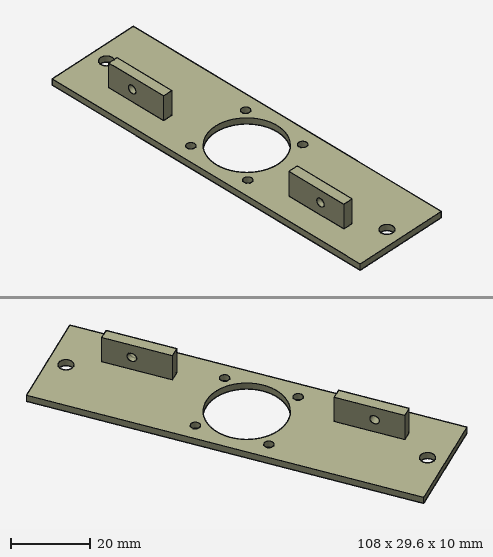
import cadquery as cq

plate_length = 108.0
plate_width = 29.6
plate_thickness = 2.0
overall_height = 10.0

opening_diameter = 22.0
screw_diameter = 2.6
screw_spacing = 20.0

mount_diameter = 4.0
mount_spacing = 98.3

lug_length = 19.2
lug_thickness = 3.0
lug_height = overall_height - plate_thickness
lug_spacing = 63.2
lug_center_y = -5.9
cross_hole_diameter = 2.6
cross_hole_spacing = 66.0
cross_hole_z = 6.0


def make_plate():
    plate = cq.Workplane("XY").box(
        plate_length, plate_width, plate_thickness, centered=(True, True, False)
    )
    top = plate.faces(">Z").workplane(origin=(0, 0, plate_thickness))
    plate = top.hole(opening_diameter)
    screw_holes = top.rarray(screw_spacing, screw_spacing, 2, 2)
    plate = plate.cut(screw_holes.circle(screw_diameter / 2).extrude(-plate_thickness, combine=False))
    mount_holes = top.rarray(mount_spacing, 1.1, 2, 1)
    return plate.cut(mount_holes.circle(mount_diameter / 2).extrude(-plate_thickness, combine=False))


def make_lug(side):
    """Return the lug on the given X side (-1 or +1), drilled through along Y."""
    lug = (
        cq.Workplane("XY", origin=(side * lug_spacing / 2, lug_center_y, plate_thickness))
        .box(lug_length, lug_thickness, lug_height, centered=(True, True, False))
    )
    cross_hole = (
        cq.Workplane("XZ", origin=(side * cross_hole_spacing / 2, lug_center_y, cross_hole_z))
        .circle(cross_hole_diameter / 2)
        .extrude(lug_thickness, both=True)
    )
    return lug.cut(cross_hole)


result = make_plate()
for side in (-1, 1):
    result = result.union(make_lug(side))